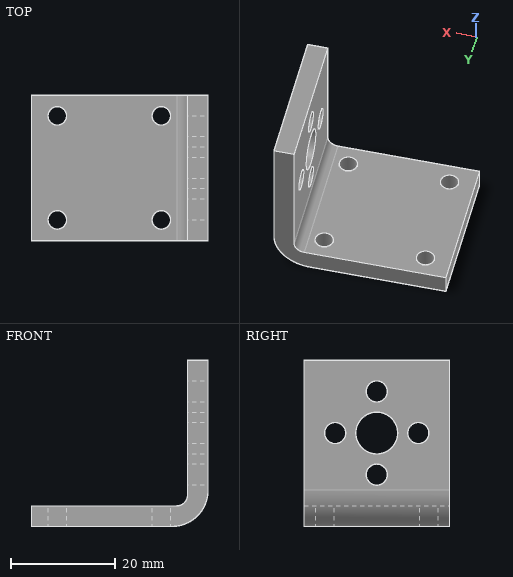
import cadquery as cq

length = 34.0
width = 28.0
height = 32.0
thickness = 4.0

inner_radius = 2.0
outer_radius = 7.0

base_hole_diameter = 3.5
base_hole_spacing = 20.0
base_hole_end_margin = 5.0

bore_diameter = 8.0
bore_height = 18.0
ring_hole_diameter = 4.0
ring_radius = 8.0
ring_hole_count = 4


def bent_plate():
    """L-shaped plate: base on Z = 0, upright at the +X end, centred on Y."""
    profile = (
        cq.Workplane("XZ")
        .moveTo(0, 0)
        .lineTo(length, 0)
        .lineTo(length, height)
        .lineTo(length - thickness, height)
        .lineTo(length - thickness, thickness)
        .lineTo(0, thickness)
        .close()
    )
    plate = profile.extrude(width / 2, both=True)
    inner_corner = cq.NearestToPointSelector((length - thickness, 0, thickness))
    outer_corner = cq.NearestToPointSelector((length, 0, 0))
    plate = plate.edges(inner_corner).fillet(inner_radius)
    return plate.edges(outer_corner).fillet(outer_radius)


def base_holes():
    """Cutters through the base plate, at the corners of a square."""
    pattern_center_x = base_hole_end_margin + base_hole_spacing / 2
    return (
        cq.Workplane("XY")
        .center(pattern_center_x, 0)
        .rect(base_hole_spacing, base_hole_spacing, forConstruction=True)
        .vertices()
        .circle(base_hole_diameter / 2)
        .extrude(thickness)
    )


def upright_holes():
    """Cutters through the upright plate: the bore and its ring of holes."""
    inner_face = cq.Workplane("YZ", origin=(length - thickness, 0, bore_height))
    bore = inner_face.circle(bore_diameter / 2).extrude(thickness)
    ring = (
        inner_face
        .polarArray(ring_radius, 0, 360, ring_hole_count)
        .circle(ring_hole_diameter / 2)
        .extrude(thickness)
    )
    return bore.union(ring)


result = bent_plate().cut(base_holes()).cut(upright_holes())